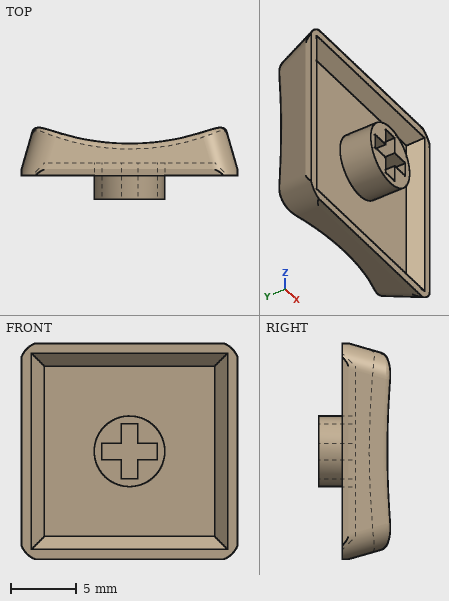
import cadquery as cq
import math

width = 16.5
skirt_height = 0.5
wall_angle = 16.0
corner_radius = 2.0
blank_height = 5.28
rim_radius = 0.5

dish_floor = 2.05
dish_radius_across = 17.49
dish_radius_along = 66.0
dish_cutter_width = 23.1
dish_sweep_angle = 30.0

rim_wall = 0.76
pocket_depth = 1.0
pocket_inset = 0.99

stem_diameter = 5.4
stem_length = 1.8
cross_length = 4.2
cross_width = 1.25
cross_depth = stem_length + pocket_depth


def plane_at(y):
    """Work plane facing +Y at the given height."""
    return cq.Workplane("XZ", origin=(0, y, 0))


def tapered_body():
    base_width = width + 2 * skirt_height * math.tan(math.radians(wall_angle))
    blank = plane_at(0).rect(base_width, base_width).extrude(-blank_height, taper=wall_angle)
    blank = blank.edges("not(|X or |Z)").fillet(corner_radius)
    return blank.intersect(plane_at(0).rect(width, width).extrude(-blank_height))


def dish_cutter():
    """Ring segment whose outermost surface forms the dish."""
    half = dish_cutter_width / 2
    edge_y = dish_floor + dish_radius_across - math.sqrt(dish_radius_across**2 - half**2)
    top_y = edge_y + blank_height
    axis_y = dish_floor + dish_radius_along
    profile = (
        cq.Workplane("XY")
        .moveTo(-half, top_y)
        .lineTo(-half, edge_y)
        .threePointArc((0, dish_floor), (half, edge_y))
        .lineTo(half, top_y)
        .close()
    )
    cutter = profile.revolve(dish_sweep_angle, (0, axis_y, 0), (1, axis_y, 0))
    return cutter.rotate((0, axis_y, 0), (1, axis_y, 0), -dish_sweep_angle / 2)


def pocket_cutter():
    pocket_angle = math.degrees(math.atan2(pocket_inset, pocket_depth))
    opening = width - 2 * rim_wall
    return plane_at(0).rect(opening, opening).extrude(-pocket_depth, taper=pocket_angle)


def stem():
    return plane_at(pocket_depth).circle(stem_diameter / 2).extrude(stem_length + pocket_depth)


def cross_socket():
    bottom = plane_at(-stem_length)
    upright = bottom.rect(cross_width, cross_length).extrude(-cross_depth)
    return bottom.rect(cross_length, cross_width).extrude(-cross_depth).union(upright)


cap = tapered_body().cut(dish_cutter())
cap = cap.faces(">Y").edges().fillet(rim_radius)
result = cap.cut(pocket_cutter()).union(stem()).cut(cross_socket())